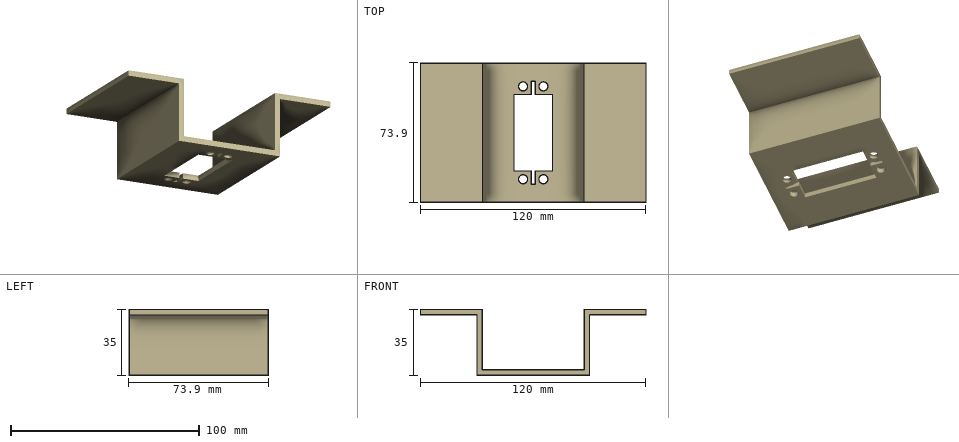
import cadquery as cq

length = 120.0
depth = 73.9
height = 35.0
thickness = 3.0
channel_width = 60.0

window_width = 20.4
window_depth = 40.5
slot_width = 2.0
slot_depth = 54.6
hole_diameter = 4.7
hole_spacing_x = 10.8
hole_spacing_y = 49.3


def block(width, block_height, x_center, z_bottom):
    """Full-depth rectangular wall of the bracket."""
    return (
        cq.Workplane("XY")
        .box(width, depth, block_height, centered=(True, True, False))
        .translate((x_center, 0, z_bottom))
    )


def floor_cutout():
    """Window with a narrow slot through it and four screw holes."""
    floor = cq.Workplane("XY")
    window = floor.rect(window_width, window_depth).extrude(thickness)
    slot = floor.rect(slot_width, slot_depth).extrude(thickness)
    holes = (
        floor.rect(hole_spacing_x, hole_spacing_y, forConstruction=True)
        .vertices()
        .circle(hole_diameter / 2)
        .extrude(thickness)
    )
    return window.union(slot).union(holes)


channel = block(channel_width, height, 0, 0)
channel = channel.cut(block(channel_width - 2 * thickness, height, 0, thickness))

flange_width = (length - channel_width) / 2 + thickness
flange_center = (length - flange_width) / 2
bracket = channel
for side in (-1, 1):
    bracket = bracket.union(block(flange_width, thickness, side * flange_center, height - thickness))

result = bracket.cut(floor_cutout())